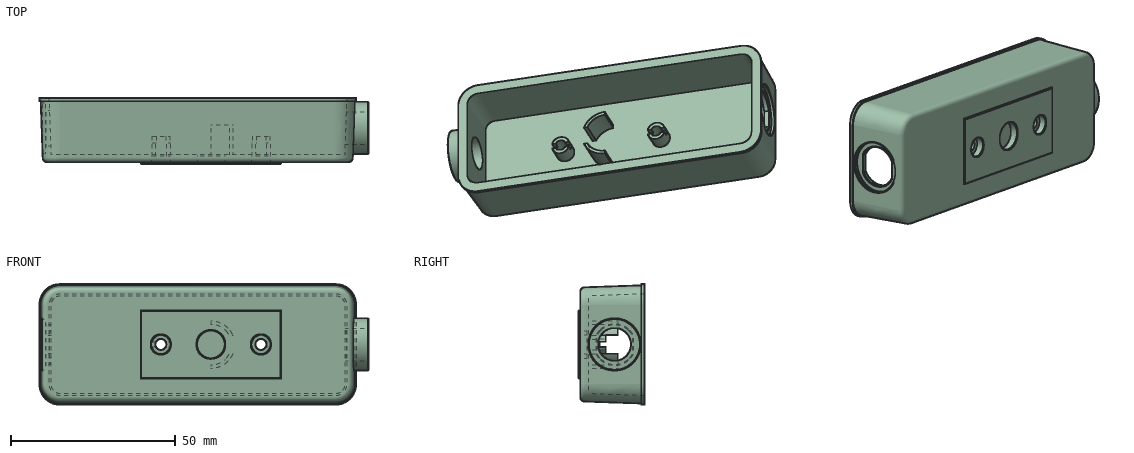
import cadquery as cq
import math

length = 96.52
overall_length = 100.33
height = 36.83
depth = 19.685
corner_radius = 6.35
rim_thickness = 1.0
rim_overhang = 0.38
draft_angle = 2.0
front_fillet = 1.5
wall = 2.54
front_wall_back_y = -depth + wall

edge_break = 0.25

plate_length = 42.8
plate_height = 20.83
plate_thickness = 0.508
plate_x = 4.0
plate_front_y = -depth - plate_thickness

recess_depth = 2.5
magnet_recess_radius = 4.2
screw_recess_radius = 2.9
screw_hole_radius = 1.65
screw_spacing = 30.48
screw_positions = [plate_x - screw_spacing / 2, plate_x + screw_spacing / 2]

port_y = -9.2
end_face_inset = rim_overhang + (-port_y - rim_thickness) * math.tan(math.radians(draft_angle))
end_face_x = -length / 2 + end_face_inset
socket_depth = 1.1
socket_radius = 7.75
socket_floor_x = end_face_x + socket_depth
socket_hole_radius = 6.1
socket_hole_width = 10.9
spigot_radius = 8.0
spigot_end_x = overall_length - length / 2
spigot_bore_radius = 5.0
cavity_reach = 2 * wall

screw_tube_radius = 2.8
screw_tube_back_y = port_y - 2.58
screw_slot_width = 1.5
screw_slot_floor_y = port_y - 4.5
cradle_outer_radius = 7.2
cradle_inner_radius = 6.2
cradle_back_y = port_y + 1.04
cradle_gap = 5.6


def rounded_block(inset, back_y, front_y, draft):
    """Rounded rectangle, inset from the rim, extruded towards -Y and narrowing by the draft."""
    return (
        cq.Workplane("XZ", origin=(0, back_y, 0))
        .sketch()
        .rect(length - 2 * inset, height - 2 * inset)
        .vertices()
        .fillet(corner_radius - inset)
        .finalize()
        .extrude(back_y - front_y, taper=draft)
    )


def y_cylinder(x, radius, back_y, front_y):
    return cq.Workplane("XZ", origin=(x, back_y, 0)).circle(radius).extrude(back_y - front_y)


def x_cylinder(radius, start_x, end_x):
    return cq.Workplane("YZ", origin=(start_x, port_y, 0)).circle(radius).extrude(end_x - start_x)


def y_box(x, size_x, size_z, back_y, front_y):
    return cq.Workplane("XZ", origin=(x, back_y, 0)).rect(size_x, size_z).extrude(back_y - front_y)


def make_shell():
    rim = rounded_block(0, 0, -rim_thickness, 0)
    outer = rounded_block(rim_overhang, -rim_thickness, -depth, draft_angle)
    outer = outer.faces("<Y").edges().fillet(front_fillet)
    cavity = rounded_block(rim_overhang + wall, 0, front_wall_back_y, draft_angle)
    return rim.union(outer).cut(cavity)


def make_plate():
    plate = y_box(plate_x, plate_length, plate_height, -depth, plate_front_y)
    return plate.faces("<Y").chamfer(edge_break)


def make_recess(x, radius):
    """Blind round recess in the plate with a chamfered mouth."""
    recess = y_cylinder(x, radius, plate_front_y + recess_depth, plate_front_y)
    mouth = (
        cq.Workplane("XZ", origin=(x, plate_front_y, 0))
        .circle(radius + edge_break)
        .workplane(offset=-edge_break)
        .circle(radius)
        .loft()
    )
    return recess.union(mouth)


def make_screw_tube(x):
    """Tube behind a screw recess, slotted along X at its free end."""
    tube = y_cylinder(x, screw_tube_radius, screw_tube_back_y, front_wall_back_y)
    slot = y_box(x, 2 * screw_tube_radius, screw_slot_width, screw_tube_back_y, screw_slot_floor_y)
    return tube.cut(slot)


def make_cradle():
    """Half ring behind the central recess, hollow towards -X and parted by a gap along X."""
    diameter = 2 * cradle_outer_radius
    ring = y_cylinder(plate_x, cradle_outer_radius, cradle_back_y, front_wall_back_y)
    bore = y_cylinder(plate_x, cradle_inner_radius, cradle_back_y, front_wall_back_y)
    gap = y_box(plate_x, diameter, cradle_gap, cradle_back_y, front_wall_back_y)
    open_half = y_box(plate_x - cradle_outer_radius, diameter, diameter, cradle_back_y, front_wall_back_y)
    return ring.cut(bore).cut(gap).cut(open_half)


def make_spigot():
    """Solid spigot that starts inside the end wall."""
    spigot = x_cylinder(spigot_radius, length / 2 - wall, spigot_end_x)
    return spigot.faces(">X").chamfer(edge_break)


def make_spigot_bore():
    return x_cylinder(spigot_bore_radius, length / 2 - cavity_reach, spigot_end_x)


def flat_sided_hole(growth, start_x, end_x):
    """Round hole along X with flats on its front and back, widened all round by the growth."""
    half_width = socket_hole_width / 2 + growth
    radius = socket_hole_radius + growth
    flats = y_box((start_x + end_x) / 2, end_x - start_x, 2 * radius, port_y + half_width, port_y - half_width)
    return x_cylinder(radius, start_x, end_x).intersect(flats)


def make_socket_cut():
    """Round socket in the end wall with a stepped mouth and a stepped, flat-sided hole through its floor."""
    socket = x_cylinder(socket_radius, -length / 2, socket_floor_x)
    mouth = x_cylinder(socket_radius + edge_break, -length / 2, end_face_x + edge_break)
    hole = flat_sided_hole(0, -length / 2, -length / 2 + cavity_reach)
    hole_step = flat_sided_hole(edge_break, -length / 2, socket_floor_x + edge_break)
    return socket.union(mouth).union(hole).union(hole_step)


result = make_shell().union(make_plate()).union(make_spigot()).union(make_cradle())
for screw_x in screw_positions:
    result = result.union(make_screw_tube(screw_x))

result = result.cut(make_recess(plate_x, magnet_recess_radius))
for screw_x in screw_positions:
    result = result.cut(make_recess(screw_x, screw_recess_radius))
    result = result.cut(y_cylinder(screw_x, screw_hole_radius, 0, plate_front_y))

result = result.cut(make_socket_cut()).cut(make_spigot_bore())